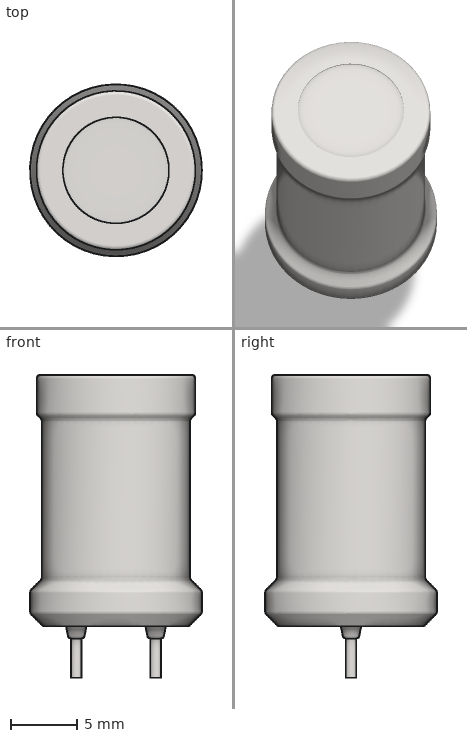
import cadquery as cq

total_height = 22.9

base_radius = 6.5
barrel_radius = 5.6
head_radius = 6.0
body_bottom = 3.9
base_chamfer = 1.0
base_rim_height = 1.67
head_rim_height = 2.98
body_fillet = 0.3

recess_radius = 4.0
recess_depth = 0.1

pin_spacing = 6.0
pin_radius = 0.41
collar_height = 0.92
collar_top_radius = 0.78
collar_tip_radius = 0.6
collar_fillet = 0.25


def make_body():
    """Revolve the stepped profile about Z and round all its circular edges."""
    base_rim_bottom = body_bottom + base_chamfer
    base_rim_top = base_rim_bottom + base_rim_height
    barrel_bottom = base_rim_top + base_radius - barrel_radius
    head_rim_bottom = total_height - head_rim_height
    barrel_top = head_rim_bottom - (head_radius - barrel_radius)
    profile = [
        (0, body_bottom),
        (base_radius - base_chamfer, body_bottom),
        (base_radius, base_rim_bottom),
        (base_radius, base_rim_top),
        (barrel_radius, barrel_bottom),
        (barrel_radius, barrel_top),
        (head_radius, head_rim_bottom),
        (head_radius, total_height),
        (0, total_height),
    ]
    body = cq.Workplane("XZ").polyline(profile).close().revolve(360, (0, 0), (0, 1))
    return body.edges("%CIRCLE").fillet(body_fillet)


def make_recess():
    """Cutter for the shallow recess in the top face."""
    floor = total_height - recess_depth
    return cq.Workplane("XY").workplane(offset=floor).circle(recess_radius).extrude(recess_depth)


def make_pin(x):
    """Round pin with a tapered collar whose lower edge is rounded."""
    collar_tip = body_bottom - collar_height
    profile = [
        (0, collar_tip),
        (collar_tip_radius, collar_tip),
        (collar_top_radius, body_bottom),
        (0, body_bottom),
    ]
    collar = cq.Workplane("XZ").polyline(profile).close().revolve(360, (0, 0), (0, 1))
    collar = collar.faces("<Z").edges().fillet(collar_fillet)
    pin = cq.Workplane("XY").circle(pin_radius).extrude(body_bottom)
    return collar.union(pin).translate((x, 0, 0))


result = make_body().cut(make_recess())
for side in (-1, 1):
    result = result.union(make_pin(side * pin_spacing / 2))